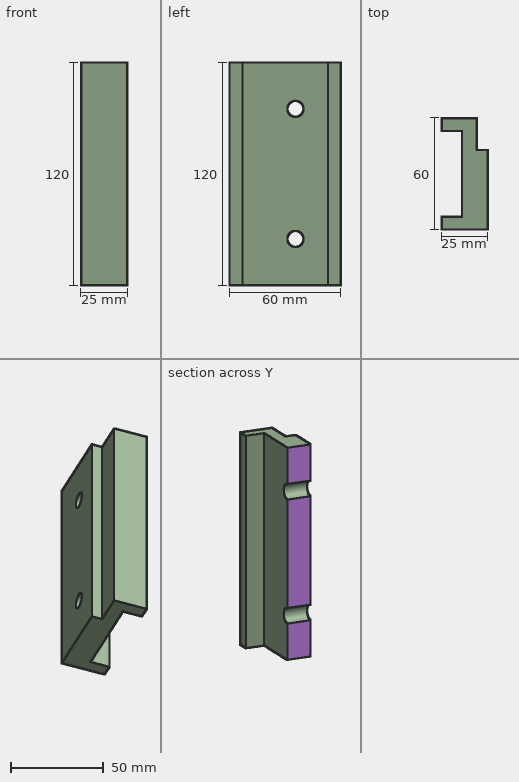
import cadquery as cq

depth = 25.0
width = 60.0
height = 120.0

flange_thickness = 7.0
channel_depth = 11.0

step_depth = 6.0
step_width = 17.0

hole_diameter = 8.5
hole_spacing = 70.0
hole_edge_distance = 24.5

x_min = -depth / 2
x_max = depth / 2
y_min = -width / 2
y_max = width / 2


def channel_profile():
    """Stepped C-shaped cross-section, extruded along the full height."""
    channel_floor = x_min + channel_depth
    step_floor = x_max - step_depth
    step_edge = y_max - step_width
    points = [
        (x_min, y_min),
        (x_max, y_min),
        (x_max, step_edge),
        (step_floor, step_edge),
        (step_floor, y_max),
        (x_min, y_max),
        (x_min, y_max - flange_thickness),
        (channel_floor, y_max - flange_thickness),
        (channel_floor, y_min + flange_thickness),
        (x_min, y_min + flange_thickness),
    ]
    profile = cq.Workplane("XY").workplane(offset=-height / 2).polyline(points).close()
    return profile.extrude(height)


def mounting_holes():
    """Cylinders along X, spaced evenly about mid-height."""
    hole_y = y_min + hole_edge_distance
    centres = [(hole_y, -hole_spacing / 2), (hole_y, hole_spacing / 2)]
    plane = cq.Workplane("YZ").workplane(offset=x_min)
    return plane.pushPoints(centres).circle(hole_diameter / 2).extrude(depth)


result = channel_profile().cut(mounting_holes())